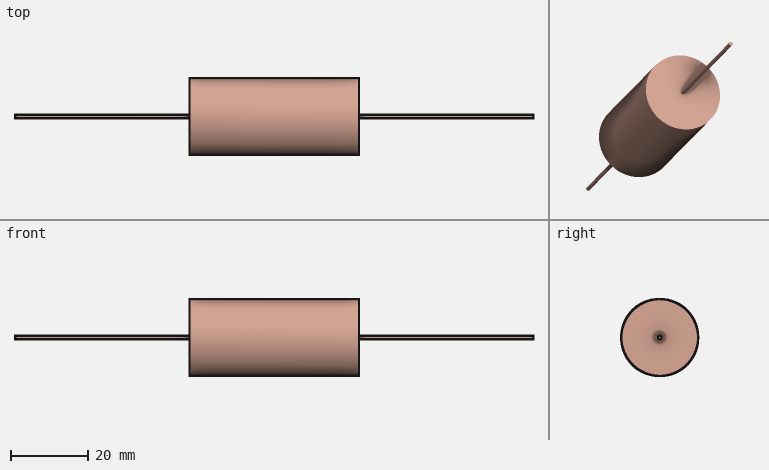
import cadquery as cq

lead_length = 134.0
case_length = 44.0
case_diameter = 20.0
lead_diameter = 1.0


def rod_along_x(diameter, length):
    """Round rod on the X axis, centred on the origin."""
    return cq.Workplane("YZ", origin=(-length / 2, 0, 0)).circle(diameter / 2).extrude(length)


def make_case():
    """Cylindrical case with a bore that the lead fills."""
    bore = rod_along_x(lead_diameter, case_length)
    return rod_along_x(case_diameter, case_length).cut(bore)


def make_lead():
    """Straight wire that sticks out equally at both ends of the case."""
    return rod_along_x(lead_diameter, lead_length)


case = make_case()
lead = make_lead()

result = cq.Compound.makeCompound([case.val(), lead.val()])